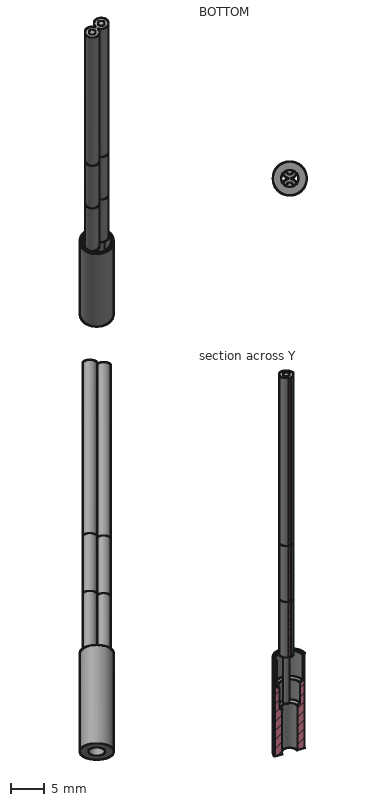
import cadquery as cq

total_height = 67.0
sleeve_height = 17.0
jacket_joint_heights = [27.0, 37.0]

core_diameter = 2.2
core_spacing = 2.2
web_width = 0.5
conductor_diameter = 1.0

sleeve_diameter = 5.15
mouth_diameter = 4.7
entry_diameter = 4.3
throat_diameter = 3.5
outlet_diameter = 2.55
mouth_chamfer_depth = 0.15
entry_depth = 4.7
throat_cone_height = 0.35
outlet_cone_height = 0.35
straight_outlet_height = 8.05

entry_top = sleeve_height - mouth_chamfer_depth
entry_bottom = sleeve_height - entry_depth
throat_top = entry_bottom - throat_cone_height
throat_bottom = straight_outlet_height + outlet_cone_height

core_positions = [(0, -core_spacing / 2), (0, core_spacing / 2)]


def make_jacket(bottom, top):
    """Length of twin insulation, bored for the two conductors."""
    height = top - bottom
    base = cq.Workplane("XY").workplane(offset=bottom)
    cores = base.pushPoints(core_positions).circle(core_diameter / 2).extrude(height)
    web = base.rect(web_width, core_spacing).extrude(height)
    bores = base.pushPoints(core_positions).circle(conductor_diameter / 2).extrude(height)
    return cores.union(web).cut(bores)


def make_conductor(position):
    """Round conductor from the bottom of the sleeve throat to the free end of the wire."""
    base = cq.Workplane("XY").workplane(offset=throat_bottom).center(*position)
    return base.circle(conductor_diameter / 2).extrude(total_height - throat_bottom)


def make_sleeve():
    """Round sleeve whose bore narrows from the entry, through the throat, to the outlet."""
    profile = [
        (-outlet_diameter / 2, 0),
        (-sleeve_diameter / 2, 0),
        (-sleeve_diameter / 2, sleeve_height),
        (-mouth_diameter / 2, sleeve_height),
        (-entry_diameter / 2, entry_top),
        (-entry_diameter / 2, entry_bottom),
        (-throat_diameter / 2, throat_top),
        (-throat_diameter / 2, throat_bottom),
        (-outlet_diameter / 2, straight_outlet_height),
    ]
    return cq.Workplane("XZ").polyline(profile).close().revolve(360, (0, 0), (0, 1))


sleeve = make_sleeve()
conductors = [make_conductor(position) for position in core_positions]

jacket_ends = [sleeve_height, *jacket_joint_heights, total_height]
jackets = [make_jacket(bottom, top) for bottom, top in zip(jacket_ends, jacket_ends[1:])]

result = cq.Compound.makeCompound(
    [body.val() for body in [sleeve, *conductors, *jackets]]
)